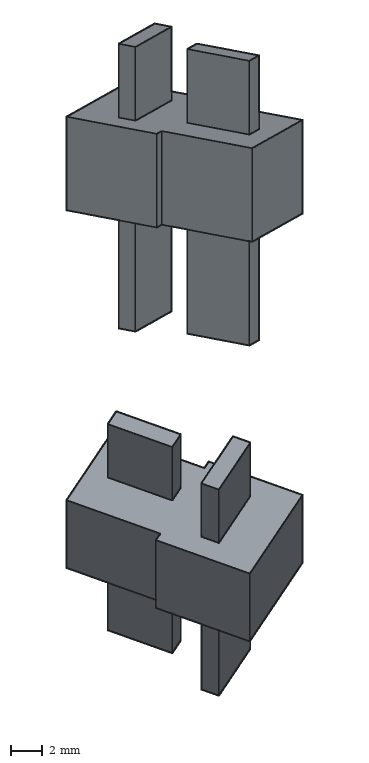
import cadquery as cq

total_height = 19.3
body_length = 13.4
wide_width = 7.7
narrow_width = 6.43

half_length = body_length / 2
body_bottom = 7.95
body_height = 6.35

blade_width = 4.61
blade_thickness = 1.25
wide_blade_x = -3.1
narrow_blade_x = 2.9
narrow_blade_y = -0.37


def upright_box(x_size, y_size, height, x, y, bottom):
    """Box centred on (x, y), standing on the level 'bottom'."""
    return (
        cq.Workplane("XY")
        .box(x_size, y_size, height, centered=(True, True, False))
        .translate((x, y, bottom))
    )


wide_half = upright_box(half_length, wide_width, body_height, -half_length / 2, 0, body_bottom)
narrow_half = upright_box(half_length, narrow_width, body_height, half_length / 2, 0, body_bottom)
housing = wide_half.union(narrow_half)

cross_blade = upright_box(blade_thickness, blade_width, total_height, wide_blade_x, 0, 0)
long_blade = upright_box(blade_width, blade_thickness, total_height, narrow_blade_x, narrow_blade_y, 0)

result = housing.union(cross_blade).union(long_blade)